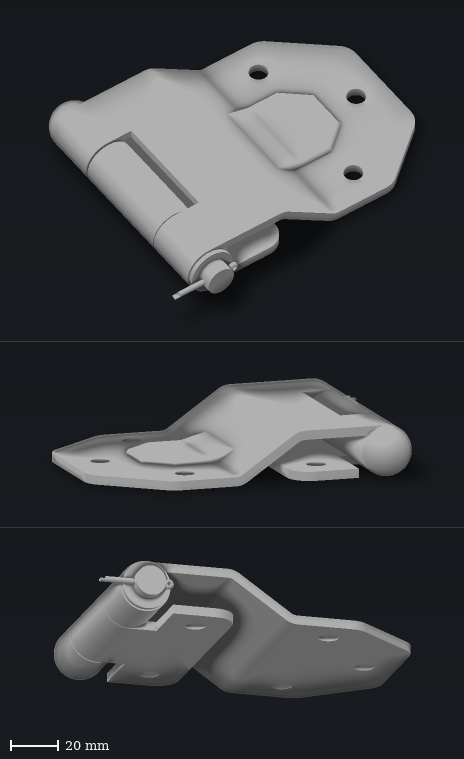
import cadquery as cq
import math


leaf_width = 100.0
leaf_thickness = 4.0
knuckle_radius = 11.0
pin_diameter = 13.0
slot_width = 50.0
notch_reach = 12.3
corner_radius = 10.0
hole_diameter = 8.5

upper_reach = 125.0
chamfer_along_x = 25.0
chamfer_along_y = 30.0
upper_fold_y = 39.1
lower_fold_y = 65.5
inner_fold_radius = 5.0
side_hole_x = 35.0
side_hole_y = 85.0
end_hole_y = 111.0

pad_half_width = 20.1
pad_end_half_width = 10.0
pad_reach = 96.0
pad_shoulder_y = 84.0
pad_height = 2.5
pad_edge_radius = 2.0
ramp_start_y = 68.7
ramp_end_y = 57.5
ramp_fold_radius = 5.0
pad_hidden_run = 1.8
pad_embed = 0.8 * leaf_thickness

lower_reach = 41.0
lower_hole_y = 26.4
left_knuckle_gap = 1.0
right_knuckle_gap = 0.5

head_length = 10.0
pin_overhang = 9.1
washer_diameter = 21.0
washer_thickness = 2.0
washer_gap = 0.5
split_pin_x = 55.1
split_pin_radius = 1.25
split_pin_hole_diameter = 3.1
eye_y = 8.8
eye_outer_radius = 2.2
upper_leg_reach = 19.0
lower_leg_reach = 21.5

half_width = leaf_width / 2
half_slot = slot_width / 2
top_z = knuckle_radius
bottom_z = -knuckle_radius
low_surface_z = bottom_z + leaf_thickness
fold_drop = top_z - low_surface_z
web_slope = fold_drop / (lower_fold_y - upper_fold_y)
web_angle = math.atan(web_slope)
fold_shift = leaf_thickness * math.tan(web_angle / 2)
outer_fold_radius = inner_fold_radius + leaf_thickness


def box(x_range, y_range, z_range):
    """Axis-aligned box between the given limits."""
    size = [high - low for low, high in (x_range, y_range, z_range)]
    corner = (x_range[0], y_range[0], z_range[0])
    return cq.Workplane("XY").box(*size, centered=False).translate(corner)


def rod(x_start, x_end, radius):
    """Cylinder on the hinge axis."""
    return cq.Workplane("YZ", origin=(x_start, 0, 0)).circle(radius).extrude(x_end - x_start)


def prism_along_x(points, width):
    """Y-Z outline extruded symmetrically along X."""
    return cq.Workplane("YZ").polyline(points).close().extrude(width / 2, both=True)


def full_height_prism(points):
    """X-Y outline extruded over the full height of the hinge."""
    outline = cq.Workplane("XY", origin=(0, 0, bottom_z)).polyline(points).close()
    return outline.extrude(2 * knuckle_radius)


def vertical_holes(points):
    """Cutter for the screw holes at the given X-Y points."""
    plane = cq.Workplane("XY", origin=(0, 0, bottom_z))
    return plane.pushPoints(points).circle(hole_diameter / 2).extrude(2 * knuckle_radius)


def edge_along_x(y, z):
    """Selector for the X-parallel edge centred at the given Y and Z."""
    return cq.selectors.NearestToPointSelector((0, y, z))


def make_pad():
    """Flat pad whose near end ramps up into the sloping web, with rounded upper edges."""
    pad_z = low_surface_z + pad_height
    ramp_end_z = top_z - web_slope * (ramp_end_y - upper_fold_y)
    ramp_slope = (ramp_end_z - pad_z) / (ramp_start_y - ramp_end_y)
    hidden_y = ramp_end_y - pad_hidden_run
    hidden_z = ramp_end_z + ramp_slope * pad_hidden_run
    web_z = top_z - web_slope * (hidden_y - upper_fold_y)
    side_profile = [
        (pad_reach, pad_z),
        (ramp_start_y, pad_z),
        (hidden_y, hidden_z),
        (hidden_y, web_z - pad_embed),
        (lower_fold_y, low_surface_z - pad_embed),
        (pad_reach, low_surface_z - pad_embed),
    ]
    pad = prism_along_x(side_profile, 2 * pad_half_width)
    pad = pad.edges(edge_along_x(ramp_start_y, pad_z)).fillet(ramp_fold_radius)
    outline = full_height_prism([
        (-pad_half_width, hidden_y),
        (pad_half_width, hidden_y),
        (pad_half_width, pad_shoulder_y),
        (pad_end_half_width, pad_reach),
        (-pad_end_half_width, pad_reach),
        (-pad_half_width, pad_shoulder_y),
    ])
    pad = pad.intersect(outline)
    flat_top = pad.faces(cq.selectors.NearestToPointSelector((0, pad_shoulder_y, pad_z)))
    return flat_top.edges("not(<Y)").fillet(pad_edge_radius)


def make_upper_leaf():
    """Double-folded leaf with two end knuckles, a raised pad and three screw holes."""
    underside_z = top_z - leaf_thickness
    upper_under_y = upper_fold_y - fold_shift
    lower_under_y = lower_fold_y - fold_shift
    leaf = prism_along_x([
        (0, top_z),
        (upper_fold_y, top_z),
        (lower_fold_y, low_surface_z),
        (upper_reach, low_surface_z),
        (upper_reach, bottom_z),
        (lower_under_y, bottom_z),
        (upper_under_y, underside_z),
        (0, underside_z),
    ], leaf_width)
    for y, z, radius in [
        (upper_fold_y, top_z, outer_fold_radius),
        (lower_fold_y, low_surface_z, inner_fold_radius),
        (lower_under_y, bottom_z, outer_fold_radius),
        (upper_under_y, underside_z, inner_fold_radius),
    ]:
        leaf = leaf.edges(edge_along_x(y, z)).fillet(radius)

    end_half_width = half_width - chamfer_along_x
    shoulder_y = upper_reach - chamfer_along_y
    outline = full_height_prism([
        (-half_width, 0),
        (half_width, 0),
        (half_width, shoulder_y),
        (end_half_width, upper_reach),
        (-end_half_width, upper_reach),
        (-half_width, shoulder_y),
    ])
    outline = outline.edges("|Z and (not <Y)").fillet(corner_radius)
    leaf = leaf.intersect(outline).union(make_pad())

    leaf = leaf.union(rod(-half_width, half_width, knuckle_radius))
    leaf = leaf.cut(rod(-half_width, half_width, pin_diameter / 2))
    leaf = leaf.cut(box((-half_slot, half_slot), (bottom_z, notch_reach), (bottom_z, top_z)))
    return leaf.cut(vertical_holes([
        (-side_hole_x, side_hole_y),
        (side_hole_x, side_hole_y),
        (0, end_hole_y),
    ]))


def make_lower_leaf():
    """Short flat leaf with a tongue rolled into the middle knuckle and two screw holes."""
    knuckle_left = -half_slot + left_knuckle_gap
    knuckle_right = half_slot - right_knuckle_gap
    z_range = (bottom_z, low_surface_z)
    plate = box((-half_width, half_width), (notch_reach, lower_reach), z_range)
    plate = plate.edges("|Z and >Y").fillet(corner_radius)
    tongue = box((knuckle_left, knuckle_right), (0, notch_reach), z_range)
    knuckle = rod(knuckle_left, knuckle_right, knuckle_radius)
    leaf = plate.union(tongue).union(knuckle)
    leaf = leaf.cut(rod(knuckle_left, knuckle_right, pin_diameter / 2))
    return leaf.cut(vertical_holes([(-side_hole_x, lower_hole_y), (side_hole_x, lower_hole_y)]))


def make_hinge_pin():
    """Pin with a domed head and a cross hole for the split pin."""
    pin_end_x = half_width + pin_overhang
    dome_radius = (knuckle_radius**2 + head_length**2) / (2 * head_length)
    tip_x = -half_width - head_length
    middle_angle = math.asin(knuckle_radius / dome_radius) / 2
    middle = (
        tip_x + dome_radius * (1 - math.cos(middle_angle)),
        dome_radius * math.sin(middle_angle),
    )
    profile = (
        cq.Workplane("XY")
        .moveTo(tip_x, 0)
        .threePointArc(middle, (-half_width, knuckle_radius))
        .lineTo(-half_width, pin_diameter / 2)
        .lineTo(pin_end_x, pin_diameter / 2)
        .lineTo(pin_end_x, 0)
        .close()
    )
    pin = profile.revolve(360, (0, 0, 0), (1, 0, 0))
    cross_hole = (
        cq.Workplane("XZ", origin=(split_pin_x, 0, 0))
        .circle(split_pin_hole_diameter / 2)
        .extrude(pin_diameter, both=True)
    )
    return pin.cut(cross_hole)


def make_washer():
    """Flat ring beside the right-hand knuckle."""
    left_x = half_width + washer_gap
    right_x = left_x + washer_thickness
    return rod(left_x, right_x, washer_diameter / 2).cut(rod(left_x, right_x, pin_diameter / 2))


def half_round(plane, crest):
    """Half disc with its flat side on the local X axis and its crest towards +Y or -Y."""
    radius = split_pin_radius
    bulge = radius / math.sqrt(2)
    return (
        plane.moveTo(-radius, 0)
        .threePointArc((-bulge, crest * bulge), (0, crest * radius))
        .threePointArc((bulge, crest * bulge), (radius, 0))
        .close()
    )


def make_split_pin():
    """Half-round wire bent into an eye, with two unequal legs lying flat on each other."""
    eye_inner_radius = eye_outer_radius - split_pin_radius
    leg_start_y = eye_y - eye_inner_radius
    eye_plane = cq.Workplane("XY", origin=(split_pin_x, eye_y + eye_inner_radius, 0))
    axis_start = (0, -eye_inner_radius, 0)
    axis_end = (1, -eye_inner_radius, 0)
    split_pin = half_round(eye_plane, 1).revolve(360, axis_start, axis_end)
    for crest, reach in [(1, upper_leg_reach), (-1, lower_leg_reach)]:
        leg_plane = cq.Workplane("XZ", origin=(split_pin_x, leg_start_y, 0))
        leg = half_round(leg_plane, crest).extrude(leg_start_y + reach)
        split_pin = split_pin.union(leg, clean=False)
    return split_pin


upper_leaf = make_upper_leaf()
lower_leaf = make_lower_leaf()
hinge_pin = make_hinge_pin()
washer = make_washer()
split_pin = make_split_pin()

result = cq.Compound.makeCompound([
    upper_leaf.val(),
    lower_leaf.val(),
    hinge_pin.val(),
    washer.val(),
    split_pin.val(),
])